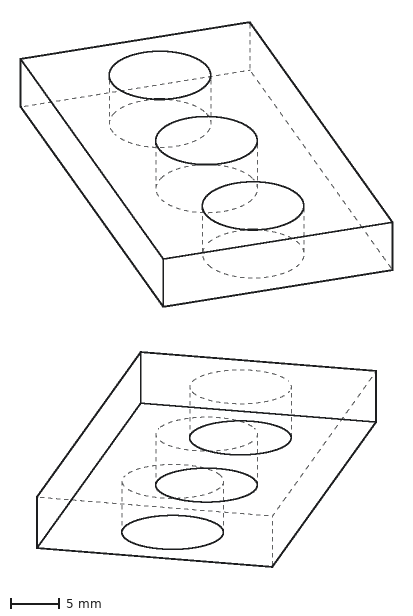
import cadquery as cq

length = 46.0
width = 25.0
thickness = 5.6

hole_diameter = 10.5
hole_pitch = 15.0
hole_count = 3

plate = cq.Workplane("XY").box(length, width, thickness)

result = (
    plate.faces(">Z")
    .workplane()
    .rarray(hole_pitch, width, hole_count, 1)
    .hole(hole_diameter)
)